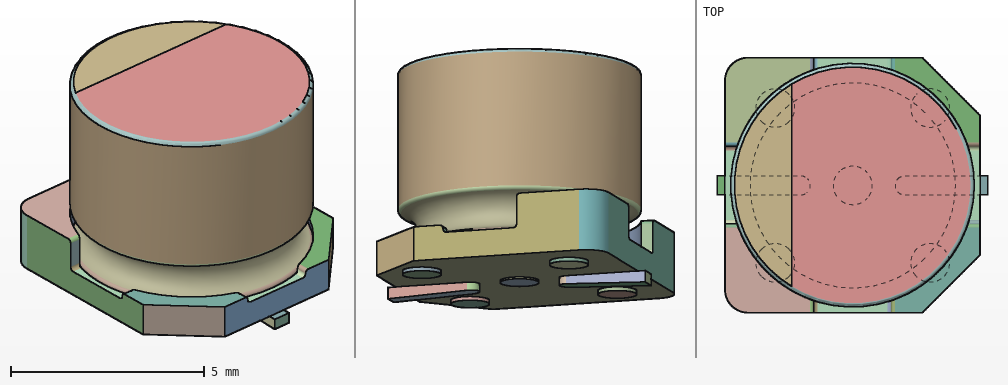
import cadquery as cq
import math


base_width = 6.6
rear_corner_radius = 0.6
front_corner_chamfer = 1.5
tall_post_top = 1.6
channel_half_width = 1.0
channel_floor = 0.7
edge_radius = 0.1
low_post_top = channel_floor + 2 * edge_radius
foot_diameter = 1.0
foot_offset = 2.0
foot_height = 0.1
center_boss_height = 0.05

can_diameter = 6.3
can_radius = can_diameter / 2
can_top = 5.5
groove_radius = 0.5

mark_edge_x = -1.575
mark_thickness = 0.05
mark_radius = can_radius - edge_radius

lead_outer_x = 3.5
lead_inner_x = 1.1
lead_width = 0.5
lead_outer_thickness = 0.3
lead_inner_thickness = 0.2

clearance_span = base_width
diagonal = math.sqrt(0.5)


def channel_cutter(plane, left_top, right_top, length):
    """Channel with rounded floor corners and rounded upper lips, open above both post tops.

    At the low posts the floor rounding runs straight into the lip, with no wall between.
    """
    r = edge_radius
    wall = channel_half_width
    floor_arc_top = channel_floor + r
    lip_drop = r - r * diagonal
    mid_in = wall - lip_drop
    mid_out = wall + lip_drop
    mid_floor = channel_floor + lip_drop
    sketch = cq.Workplane(plane).moveTo(-wall + r, channel_floor).lineTo(wall - r, channel_floor)
    sketch = sketch.threePointArc((mid_in, mid_floor), (wall, floor_arc_top))
    if right_top > low_post_top:
        sketch = sketch.lineTo(wall, right_top - r)
    sketch = sketch.threePointArc((mid_out, right_top - lip_drop), (wall + r, right_top))
    sketch = sketch.lineTo(clearance_span, right_top).lineTo(clearance_span, can_top)
    sketch = sketch.lineTo(-clearance_span, can_top).lineTo(-clearance_span, left_top)
    sketch = sketch.lineTo(-wall - r, left_top)
    sketch = sketch.threePointArc((-mid_out, left_top - lip_drop), (-wall, left_top - r))
    if left_top > low_post_top:
        sketch = sketch.lineTo(-wall, floor_arc_top)
    sketch = sketch.threePointArc((-mid_in, mid_floor), (-wall + r, channel_floor))
    return sketch.close().extrude(length)


def make_base():
    block = cq.Workplane("XY").rect(base_width, base_width).extrude(tall_post_top)
    block = block.edges("|Z and <X").fillet(rear_corner_radius)
    block = block.edges("|Z and >X").chamfer(front_corner_chamfer)

    channel_start = cq.Workplane("XZ", origin=(0, clearance_span, 0)).plane
    block = block.cut(channel_cutter(channel_start, tall_post_top, low_post_top, 2 * clearance_span))
    block = block.cut(channel_cutter("YZ", low_post_top, low_post_top, clearance_span))
    block = block.cut(channel_cutter("YZ", tall_post_top, tall_post_top, -clearance_span))

    seat = cq.Workplane("XY").workplane(offset=channel_floor).circle(can_radius).extrude(can_top)
    block = block.cut(seat)

    feet = cq.Workplane("XY").rect(2 * foot_offset, 2 * foot_offset, forConstruction=True).vertices()
    block = block.union(feet.circle(foot_diameter / 2).extrude(-foot_height))
    return block.union(cq.Workplane("XY").circle(foot_diameter / 2).extrude(-center_boss_height))


def make_mark():
    mark_plane = cq.Workplane("XY").workplane(offset=can_top - mark_thickness)
    disc = mark_plane.circle(mark_radius).extrude(mark_thickness)
    far_side = mark_plane.rect(can_diameter, can_diameter).extrude(mark_thickness)
    return disc.cut(far_side.translate((can_radius + mark_edge_x, 0, 0)))


def make_can(mark):
    lip_center_x = can_radius - edge_radius
    centers_distance = groove_radius + edge_radius
    lip_rise = math.sqrt(centers_distance ** 2 - edge_radius ** 2)
    groove_z = channel_floor + lip_rise
    tangent_x = can_radius - edge_radius * groove_radius / centers_distance
    tangent_rise = lip_rise * groove_radius / centers_distance

    half_angle = math.atan2(lip_rise, edge_radius) / 2
    lip_mid_x = lip_center_x + edge_radius * math.cos(half_angle)
    lip_mid_rise = lip_rise - edge_radius * math.sin(half_angle)

    profile = (
        cq.Workplane("XZ")
        .moveTo(0, channel_floor)
        .lineTo(can_radius, channel_floor)
        .threePointArc((lip_mid_x, groove_z - lip_mid_rise), (tangent_x, groove_z - tangent_rise))
        .threePointArc((can_radius - groove_radius, groove_z), (tangent_x, groove_z + tangent_rise))
        .threePointArc((lip_mid_x, groove_z + lip_mid_rise), (can_radius, groove_z + lip_rise))
        .lineTo(can_radius, can_top)
        .lineTo(0, can_top)
        .close()
    )
    can = profile.revolve(360, (0, 0, 0), (0, 1, 0))
    return can.faces(">Z").edges().fillet(edge_radius).cut(mark)


def make_lead(turn):
    """Lead on the +X side with a sloping underside and a round inner end, turned about Z."""
    lead = (
        cq.Workplane("XZ")
        .polyline([
            (lead_inner_x, 0),
            (lead_outer_x, 0),
            (lead_outer_x, -lead_outer_thickness),
            (lead_inner_x, -lead_inner_thickness),
        ])
        .close()
        .extrude(lead_width / 2, both=True)
    )
    end_x = lead_inner_x + lead_width / 2
    outline = (
        cq.Workplane("XY")
        .moveTo(lead_outer_x, -lead_width / 2)
        .lineTo(lead_outer_x, lead_width / 2)
        .lineTo(end_x, lead_width / 2)
        .threePointArc((lead_inner_x, 0), (end_x, -lead_width / 2))
        .close()
        .extrude(-lead_outer_thickness)
    )
    return lead.intersect(outline).rotate((0, 0, 0), (0, 0, 1), turn)


base = make_base()
polarity_mark = make_mark()
can = make_can(polarity_mark)
leads = [make_lead(turn) for turn in (0, 180)]

result = cq.Compound.makeCompound([
    base.val(),
    can.val(),
    polarity_mark.val(),
    *[lead.val() for lead in leads],
])